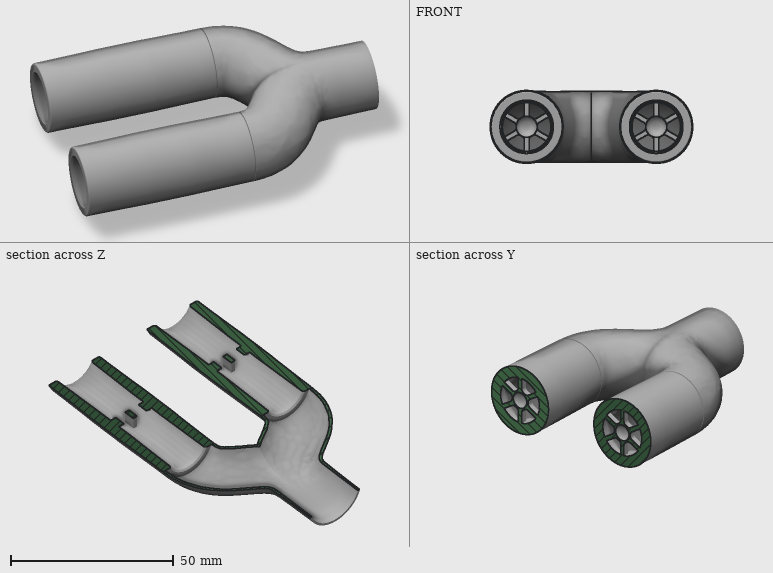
import cadquery as cq

leg_offset = 20.0
total_length = 99.9

cone_length = 20.0
band_length = 14.0
cartridge_length = 2 * cone_length + band_length
band_diameter = 22.5
cone_end_diameter = 22.0
bore_mouth_diameter = 15.5
bore_throat_diameter = 15.0
outer_edge_radius = 0.5
mouth_chamfer = 0.5

hub_diameter = 6.5
spoke_count = 6
spoke_width = 1.5
spoke_root_radius = 1.2
spider_thickness = 4.0

stem_length = 16.0
stem_tip_diameter = 21.6
arm_diameter = 22.0
wye_bore_diameter = 20.0
arm_handle = 17.0

stem_base = total_length - stem_length
cartridge_middle = cartridge_length / 2


def revolve_about_y(outline):
    return outline.close().revolve(360, (0, 0, 0), (0, 1, 0))


def round_rod(diameter, start, length):
    """Cylinder on the Y axis that begins at the given Y."""
    return cq.Workplane("XZ", origin=(0, start, 0)).circle(diameter / 2).extrude(-length)


def arm_path():
    """S-curve from the stem to the +X leg that starts and ends parallel to Y."""
    return cq.Workplane("XY").bezier(
        [
            (0, stem_base),
            (0, stem_base - arm_handle),
            (leg_offset, cartridge_length + arm_handle),
            (leg_offset, cartridge_length),
        ]
    )


def forked_rod(diameter):
    """Two mirrored swept arms, each trimmed at the plane X = 0 where they meet."""
    arm = cq.Workplane("XZ", origin=(0, stem_base, 0)).circle(diameter / 2).sweep(arm_path())
    positive_side = cq.Workplane("XY").box(
        total_length, total_length, total_length, centered=(False, False, True)
    )
    half = arm.intersect(positive_side)
    return half.union(half.mirror("YZ"))


def make_wye():
    stem = revolve_about_y(
        cq.Workplane("XY")
        .moveTo(0, stem_base)
        .lineTo(arm_diameter / 2, stem_base)
        .lineTo(stem_tip_diameter / 2, total_length)
        .lineTo(0, total_length)
    )
    bore = forked_rod(wye_bore_diameter).union(round_rod(wye_bore_diameter, stem_base, stem_length))
    return forked_rod(arm_diameter).union(stem).cut(bore)


def make_shell():
    """Barrel with a straight middle band, cones to both ends and a matching bore."""
    barrel = revolve_about_y(
        cq.Workplane("XY")
        .lineTo(cone_end_diameter / 2, 0)
        .lineTo(band_diameter / 2, cone_length)
        .lineTo(band_diameter / 2, cone_length + band_length)
        .lineTo(cone_end_diameter / 2, cartridge_length)
        .lineTo(0, cartridge_length)
    )
    barrel = barrel.faces("<Y or >Y").edges().fillet(outer_edge_radius)

    mouth_radius = bore_mouth_diameter / 2
    throat_radius = bore_throat_diameter / 2
    bore = revolve_about_y(
        cq.Workplane("XY")
        .lineTo(mouth_radius + mouth_chamfer, 0)
        .lineTo(mouth_radius, mouth_chamfer)
        .lineTo(throat_radius, cone_length)
        .lineTo(throat_radius, cone_length + band_length)
        .lineTo(mouth_radius, cartridge_length - mouth_chamfer)
        .lineTo(mouth_radius + mouth_chamfer, cartridge_length)
        .lineTo(0, cartridge_length)
    )
    return barrel.cut(bore)


def make_spider():
    """Hub with radial spokes and a domed nose that points to the open mouth."""
    front = cartridge_middle - spider_thickness / 2
    spoke_reach = (bore_throat_diameter + band_diameter) / 4
    spider = round_rod(hub_diameter, front, spider_thickness)
    spoke = (
        cq.Workplane("XY")
        .box(spoke_width, spider_thickness, spoke_reach, centered=(True, True, False))
        .translate((0, cartridge_middle, 0))
    )
    for index in range(spoke_count):
        spider = spider.union(spoke.rotate((0, 0, 0), (0, 1, 0), index * 360 / spoke_count))

    root_zone = cq.selectors.BoxSelector(
        (-hub_diameter / 2, front, -hub_diameter / 2),
        (hub_diameter / 2, front + spider_thickness, hub_diameter / 2),
    )
    spider = spider.edges("|Y").edges(root_zone).fillet(spoke_root_radius)

    nose = cq.Workplane("XY").sphere(hub_diameter / 2).translate((0, front, 0))
    return spider.union(nose)


def make_cartridge():
    return make_shell().union(make_spider())


wye = make_wye()
cartridge = make_cartridge()
cartridges = [cartridge.translate((side * leg_offset, 0, 0)) for side in (-1, 1)]

bodies = [wye, *cartridges]
result = cq.Compound.makeCompound([body.solids().val() for body in bodies])